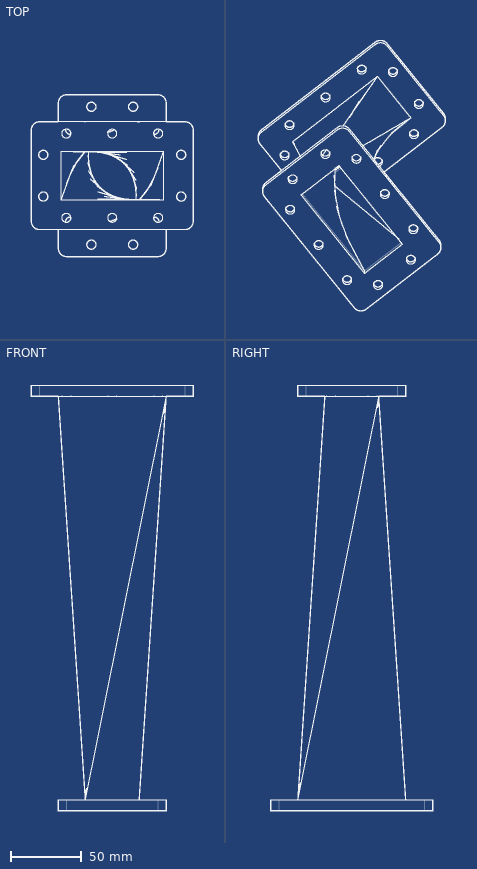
import cadquery as cq

total_length = 300.0

tube_long = 76.2
tube_short = 38.0
wall = 2.05
bore_long = tube_long - 2 * wall
bore_short = tube_short - 2 * wall

flange_long = 114.3
flange_short = tube_long
flange_thickness = 7.8
flange_corner_radius = 6.0

bolt_hole_diameter = 6.3
side_row_x_offsets = (-32.5, 0.0, 32.5)
side_row_y = 29.7
end_pair_x = 48.5
end_pair_y = 14.7

tube_bottom = flange_thickness
tube_top = total_length - flange_thickness


def rectangle_corners(long_side, short_side, z):
    """Corners counter-clockwise from the lower right, long side along X."""
    half_long = long_side / 2
    half_short = short_side / 2
    return [
        cq.Vector(half_long, -half_short, z),
        cq.Vector(half_long, half_short, z),
        cq.Vector(-half_long, half_short, z),
        cq.Vector(-half_long, -half_short, z),
    ]


def closed_loop_edges(corners):
    following = corners[1:] + corners[:1]
    return [cq.Edge.makeLine(start, end) for start, end in zip(corners, following)]


def twisted_prism(long_side, short_side):
    """Solid whose section turns a quarter turn, with straight lines joining the end corners."""
    top_corners = rectangle_corners(long_side, short_side, tube_top)
    bottom_corners = [cq.Vector(c.y, -c.x, tube_bottom) for c in top_corners]
    top_edges = closed_loop_edges(top_corners)
    bottom_edges = closed_loop_edges(bottom_corners)
    faces = [
        cq.Face.makeRuledSurface(bottom_edge, top_edge)
        for bottom_edge, top_edge in zip(bottom_edges, top_edges)
    ]
    faces.append(cq.Face.makeFromWires(cq.Wire.assembleEdges(bottom_edges)))
    faces.append(cq.Face.makeFromWires(cq.Wire.assembleEdges(top_edges)))
    return cq.Workplane(cq.Solid.makeSolid(cq.Shell.makeShell(faces)).fix())


def flange():
    """Flange with its long side along X, resting on Z = 0, with bore and bolt holes."""
    plate = (
        cq.Workplane("XY")
        .rect(flange_long, flange_short)
        .extrude(flange_thickness)
        .edges("|Z")
        .fillet(flange_corner_radius)
    )
    bore = cq.Workplane("XY").rect(bore_long, bore_short).extrude(flange_thickness)
    bolt_centers = [(x, y) for x in side_row_x_offsets for y in (-side_row_y, side_row_y)]
    bolt_centers += [(x, y) for x in (-end_pair_x, end_pair_x) for y in (-end_pair_y, end_pair_y)]
    bolt_holes = (
        cq.Workplane("XY")
        .pushPoints(bolt_centers)
        .circle(bolt_hole_diameter / 2)
        .extrude(flange_thickness)
    )
    return plate.cut(bore).cut(bolt_holes)


tube = twisted_prism(tube_long, tube_short).cut(twisted_prism(bore_long, bore_short))

bottom_flange = flange().rotate((0, 0, 0), (0, 0, 1), 90)
top_flange = flange().translate((0, 0, tube_top))

result = tube.union(bottom_flange).union(top_flange)